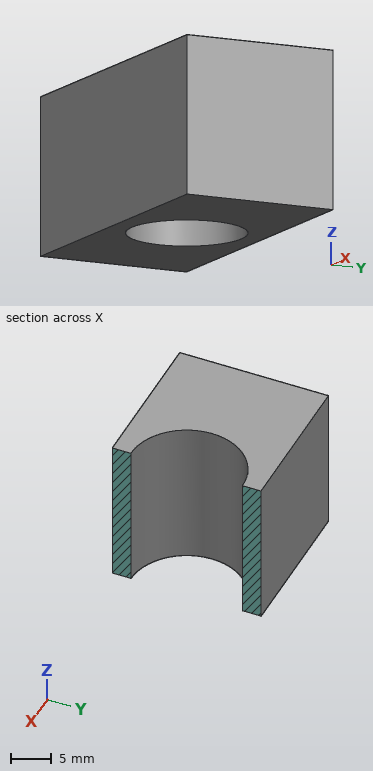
import cadquery as cq

length = 40.0
width = length / 2
height = width
hole_diameter = 15.0

block = cq.Workplane("XY").box(length, width, height)

result = block.faces(">Z").workplane().hole(hole_diameter)